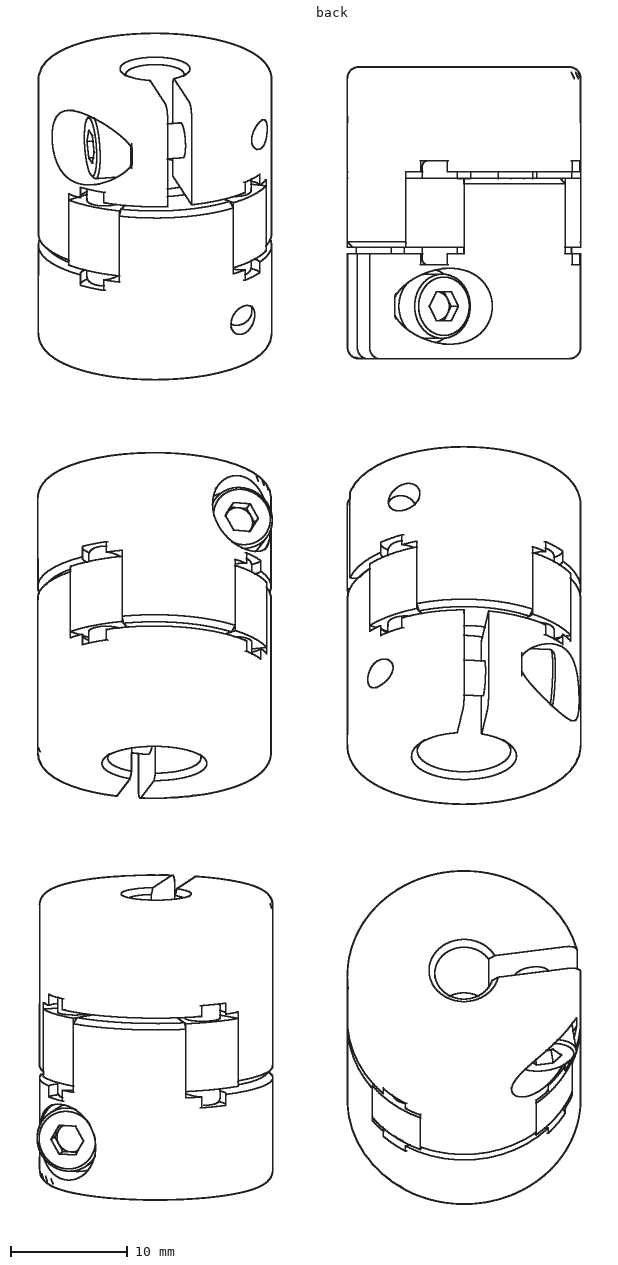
import cadquery as cq
import math

length = 25.0
radius = 10.0
mid_z = length / 2

hub_length = 9.0
rim_fillet = 1.0
upper_bore_radius = 2.5
lower_bore_radius = 4.0
bore_chamfer = 0.5

jaw_start_angles = (0, 180)
jaw_angle = 60
arm_count = 4
arm_angle = 360 / arm_count - jaw_angle
arm_centre_angle = jaw_angle + arm_angle / 2
jaw_inner_radius = 5.9
jaw_tip_chamfer = 0.48
spider_thickness = 5.9
spider_bore_radius = 4.0

nub_radius = 1.5
nub_height = 1.5
nub_fillet = 0.48
nub_circle_radius = 8.0
pocket_clearance = 0.1
pocket_end_radius = 8.85

slot_angle = -60
slot_width = 2.1
screw_offset = 6.0
screw_end_distance = 4.5
seat_distance = 4.0
counterbore_radius = 3.25
head_radius = 2.75
head_height = 2.95
head_chamfer = 0.25
shank_radius = 1.5
shank_length = 9.75
thread_exit_radius = 1.25
socket_flats = 2.5
socket_depth = 1.25
socket_tip_angle = 120

spider_top = mid_z + spider_thickness / 2
spider_bottom = mid_z - spider_thickness / 2
hub_base = length - hub_length
screw_z = length - screw_end_distance
pocket_radius = nub_radius + pocket_clearance
pocket_depth = spider_top + nub_height - hub_base
cut_reach = 2 * radius
lower_hub_axis_angle = arm_centre_angle + 90


def polar(distance, angle):
    return (distance * math.cos(math.radians(angle)), distance * math.sin(math.radians(angle)))


def ring_sector(inner, outer, start, sweep, bottom, height):
    """Sector of a ring with radial sides."""
    middle = start + sweep / 2
    end = start + sweep
    return (
        cq.Workplane("XY", origin=(0, 0, bottom))
        .moveTo(*polar(inner, start))
        .lineTo(*polar(outer, start))
        .threePointArc(polar(outer, middle), polar(outer, end))
        .lineTo(*polar(inner, end))
        .threePointArc(polar(inner, middle), polar(inner, start))
        .close()
        .extrude(height)
    )


def arm_angles():
    return [arm_centre_angle + i * 360 / arm_count for i in range(arm_count)]


def nub_points():
    return [polar(nub_circle_radius, angle) for angle in arm_angles()]


def screw_plane(distance):
    """Plane across the screw axis; its normal points out of the head, its x away from the coupling axis."""
    x, y = polar(screw_offset, slot_angle)
    dx, dy = polar(distance, slot_angle - 90)
    return cq.Plane(
        origin=(x + dx, y + dy, screw_z),
        xDir=(*polar(1, slot_angle), 0),
        normal=(*polar(1, slot_angle - 90), 0),
    )


def make_nub_pocket(angle):
    """Round-ended radial slot that opens through the rim of the hub."""
    end_distance = pocket_end_radius - nub_circle_radius
    return (
        cq.Workplane("XY", origin=(0, 0, hub_base))
        .center(nub_circle_radius + end_distance / 2, 0)
        .slot2D(end_distance + 2 * pocket_radius, 2 * pocket_radius)
        .extrude(pocket_depth)
        .rotate((0, 0, 0), (0, 0, 1), angle)
    )


def make_upper_hub(bore_radius):
    hub = cq.Workplane("XY", origin=(0, 0, spider_bottom)).circle(radius).extrude(length - spider_bottom)
    hub = hub.faces(">Z").edges().fillet(rim_fillet)
    hub = hub.faces("<Z").edges().chamfer(jaw_tip_chamfer)

    jaw_height = hub_base - spider_bottom
    core = cq.Workplane("XY", origin=(0, 0, spider_bottom)).circle(jaw_inner_radius).extrude(jaw_height)
    hub = hub.cut(core)
    gap_angle = 360 / len(jaw_start_angles) - jaw_angle
    for start in jaw_start_angles:
        gap_start = start + jaw_angle
        gap = ring_sector(spider_bore_radius, cut_reach, gap_start, gap_angle, spider_bottom, jaw_height)
        hub = hub.cut(gap)

    hub = hub.cut(cq.Workplane("XY", origin=(0, 0, hub_base)).circle(bore_radius).extrude(hub_length))
    bore_mouth = cq.Solid.makeCone(
        bore_radius, bore_radius + bore_chamfer, bore_chamfer, pnt=cq.Vector(0, 0, length - bore_chamfer)
    )
    hub = hub.cut(cq.Workplane(bore_mouth))

    for angle in arm_angles():
        hub = hub.cut(make_nub_pocket(angle))

    slot = (
        cq.Workplane("XY", origin=(0, 0, hub_base))
        .center(radius / 2, 0)
        .rect(radius, slot_width)
        .extrude(hub_length)
        .rotate((0, 0, 0), (0, 0, 1), slot_angle)
    )
    hub = hub.cut(slot)

    seat = screw_plane(seat_distance)
    hub = hub.cut(cq.Workplane(seat).circle(counterbore_radius).extrude(cut_reach))
    hub = hub.cut(cq.Workplane(seat).circle(shank_radius).extrude(-shank_length))
    return hub.cut(cq.Workplane(seat).circle(thread_exit_radius).extrude(-cut_reach))


def make_upper_screw():
    head_face = screw_plane(seat_distance + head_height)
    screw = cq.Workplane(head_face).circle(head_radius).extrude(-head_height)
    face_rim = cq.selectors.NearestToPointSelector(head_face.origin.toTuple())
    screw = screw.edges(face_rim).chamfer(head_chamfer)
    screw = screw.union(cq.Workplane(screw_plane(seat_distance)).circle(shank_radius).extrude(-shank_length))

    corner_diameter = socket_flats / math.cos(math.pi / 6)
    screw = screw.cut(cq.Workplane(head_face).polygon(6, corner_diameter).extrude(-socket_depth))
    tip_radius = socket_flats / 2
    tip_height = tip_radius / math.tan(math.radians(socket_tip_angle / 2))
    floor = screw_plane(seat_distance + head_height - socket_depth)
    socket_tip = cq.Solid.makeCone(tip_radius, 0, tip_height, pnt=floor.origin, dir=-floor.zDir)
    return screw.cut(cq.Workplane(socket_tip))


def make_spider():
    spider = (
        cq.Workplane("XY", origin=(0, 0, spider_bottom))
        .circle(jaw_inner_radius)
        .circle(spider_bore_radius)
        .extrude(spider_thickness)
    )
    for angle in arm_angles():
        arm = ring_sector(
            spider_bore_radius, radius, angle - arm_angle / 2, arm_angle, spider_bottom, spider_thickness
        )
        spider = spider.union(arm)
    nubs = (
        cq.Workplane("XY", origin=(0, 0, spider_bottom - nub_height))
        .pushPoints(nub_points())
        .circle(nub_radius)
        .extrude(spider_thickness + 2 * nub_height)
        .faces("<Z or >Z")
        .edges()
        .fillet(nub_fillet)
    )
    return spider.union(nubs)


def turned_over(body):
    """Copy of an upper body, given half a turn about a horizontal axis at mid length."""
    x, y = polar(0.25, lower_hub_axis_angle)
    return body.rotate((0, 0, mid_z), (x, y, mid_z), 180)


upper_screw = make_upper_screw()
spider = make_spider()
hubs = [make_upper_hub(upper_bore_radius), turned_over(make_upper_hub(lower_bore_radius))]
screws = [upper_screw, turned_over(upper_screw)]

result = cq.Compound.makeCompound([body.val() for body in [*hubs, spider, *screws]])